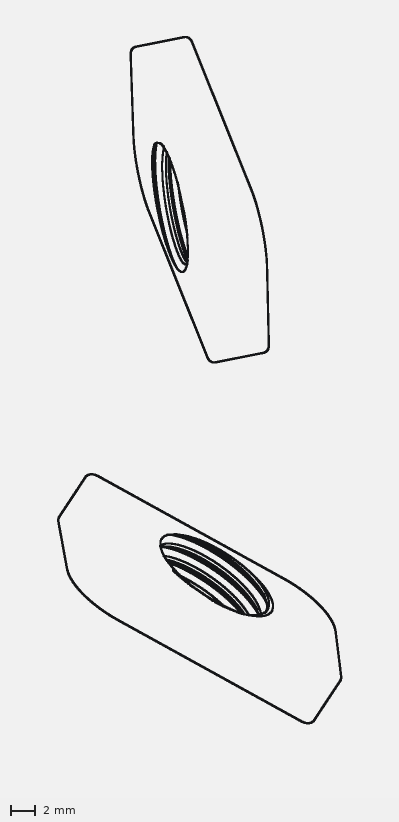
import cadquery as cq
import math

length = 23.98
thickness = 5.0
height = 14.0
small_radius = 1.0
large_radius = 5.0
edge_radius = 0.5
left_lean = 5.5
right_lean = 3.6

pitch = 1.25
minor_radius = 5.0
hole_x = 0.07
hole_z = 0.26
crest_share = 1 / 4
root_share = 1 / 8
flank_angle = 30
flank_share = (1 - crest_share - root_share) / 2
thread_depth = flank_share * pitch / math.tan(math.radians(flank_angle))
major_radius = minor_radius + thread_depth
front_root_direction = -90
groove_overlap = 0.05


def sharp_corner_x(lean):
    """Distance from mid-length to the sharp corner whose rounding reaches half the length."""
    angle = math.radians(lean)
    arc_center = length / 2 - small_radius
    return arc_center + small_radius * (1 + math.sin(angle)) / math.cos(angle)


def make_plate():
    half_height = height / 2
    left_x = -sharp_corner_x(left_lean)
    right_x = sharp_corner_x(right_lean)
    left_run = height * math.tan(math.radians(left_lean))
    right_run = height * math.tan(math.radians(right_lean))
    plate = (
        cq.Workplane("XZ", origin=(0, thickness / 2, 0))
        .moveTo(left_x, half_height)
        .lineTo(right_x - right_run, half_height)
        .lineTo(right_x, -half_height)
        .lineTo(left_x + left_run, -half_height)
        .close()
        .extrude(thickness)
    )
    for corners, radius in (("<X or >X", small_radius), (">(1,0,1) or <(1,0,1)", large_radius)):
        plate = plate.edges("|Y").edges(corners).fillet(radius)
    return plate.faces("<Y or >Y").edges().fillet(edge_radius)


def make_bore():
    return (
        cq.Workplane("XZ", origin=(hole_x, thickness / 2, hole_z))
        .circle(minor_radius)
        .extrude(thickness)
    )


def make_thread_groove():
    """A trapezoid swept along a right-hand helix that overruns both faces of the plate."""
    flank_slope = math.tan(math.radians(flank_angle))
    root_half = root_share * pitch / 2
    inner_half = root_half + (thread_depth + groove_overlap) * flank_slope
    inner_radius = minor_radius - groove_overlap
    helix = cq.Wire.makeHelix(pitch, thickness + 2 * pitch, minor_radius)
    groove = (
        cq.Workplane("XZ")
        .moveTo(inner_radius, -inner_half)
        .lineTo(major_radius, -root_half)
        .lineTo(major_radius, root_half)
        .lineTo(inner_radius, inner_half)
        .close()
        .sweep(cq.Workplane(helix), isFrenet=True)
    )
    turn = 360 * thickness / pitch
    return (
        groove.rotate((0, 0, 0), (0, 0, 1), front_root_direction - turn)
        .rotate((0, 0, 0), (1, 0, 0), 90)
        .translate((hole_x, thickness / 2 + pitch, hole_z))
    )


result = make_plate().cut(make_thread_groove()).cut(make_bore())